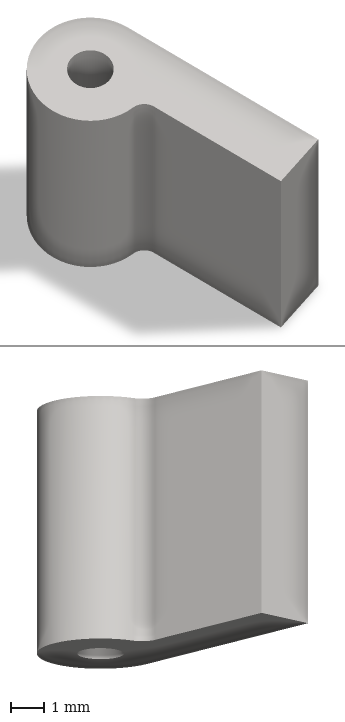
import cadquery as cq
import math

length = 8.95
height = 7.47
barrel_diameter = 3.81
pin_diameter = 1.4
fillet_radius = 0.5

barrel_radius = barrel_diameter / 2
leaf_thickness = barrel_radius
leaf_end = length - barrel_radius

center_distance = barrel_radius + fillet_radius
fillet_x = math.sqrt(center_distance**2 - fillet_radius**2)
fillet_y = -fillet_radius
barrel_share = barrel_radius / center_distance
barrel_tangent = (fillet_x * barrel_share, fillet_y * barrel_share)

leaf_direction = math.pi / 2
barrel_direction = math.atan2(-fillet_y, -fillet_x)
mid_direction = (leaf_direction + barrel_direction) / 2
fillet_middle = (
    fillet_x + fillet_radius * math.cos(mid_direction),
    fillet_y + fillet_radius * math.sin(mid_direction),
)

hinge = (
    cq.Workplane("XY")
    .moveTo(0, leaf_thickness)
    .lineTo(leaf_end, leaf_thickness)
    .lineTo(leaf_end, 0)
    .lineTo(fillet_x, 0)
    .threePointArc(fillet_middle, barrel_tangent)
    .threePointArc((-barrel_radius, 0), (0, barrel_radius))
    .close()
    .extrude(height)
)

pin_hole = cq.Workplane("XY").circle(pin_diameter / 2).extrude(height)

result = hinge.cut(pin_hole)